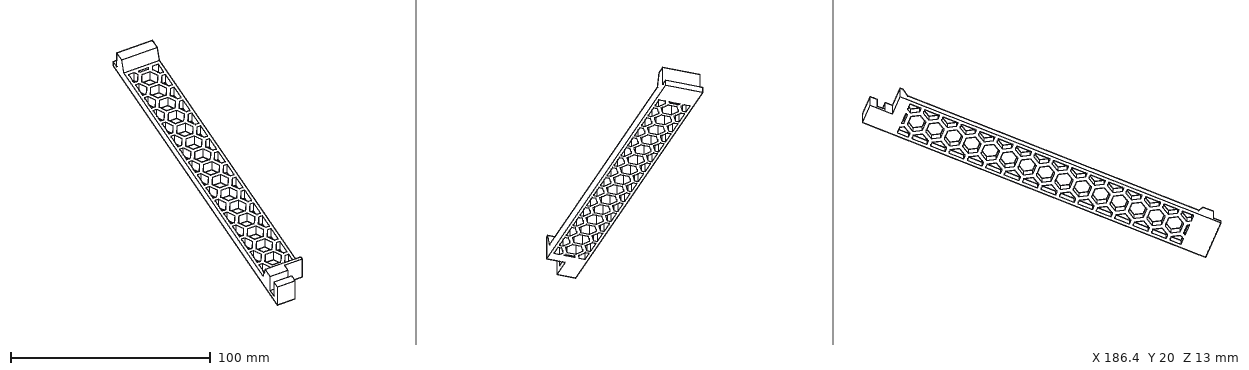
import cadquery as cq
import math

LENGTH = 186.4
WIDTH = 20.0
HEIGHT = 13.0

LIP_HEIGHT = 3.0
DECK_HEIGHT = 6.0

LIP_LENGTH = 4.1
LEFT_UPRIGHT_TOP = 5.5
SLOPE_RUN = 2.5

HOOK_THICKNESS = 4.0
SLOT_WIDTH = 4.3
RIGHT_UPRIGHT_TOP = 5.5

CUTOUT_LENGTH = 12.1
CUTOUT_DEPTH = WIDTH / 2

WINDOW_END_MARGIN = 2.0
WINDOW_SIDE_MARGIN = 1.7
CELL_COUNT = 15
CELL_ROW_SPAN = 140.0
CELL_ACROSS_FLATS = 8.0

left_upright_end = LIP_LENGTH + LEFT_UPRIGHT_TOP
deck_start = left_upright_end + SLOPE_RUN
slot_end = LENGTH - HOOK_THICKNESS
slot_start = slot_end - SLOT_WIDTH
right_upright_start = slot_start - RIGHT_UPRIGHT_TOP
deck_end = right_upright_start - SLOPE_RUN


def make_body():
    """Side profile of the whole bar, extruded across its width."""
    profile = [
        (0, 0),
        (0, LIP_HEIGHT),
        (LIP_LENGTH, LIP_HEIGHT),
        (LIP_LENGTH, HEIGHT),
        (left_upright_end, HEIGHT),
        (deck_start, DECK_HEIGHT),
        (deck_end, DECK_HEIGHT),
        (right_upright_start, HEIGHT),
        (slot_start, HEIGHT),
        (slot_start, LIP_HEIGHT),
        (slot_end, LIP_HEIGHT),
        (slot_end, HEIGHT),
        (LENGTH, HEIGHT),
        (LENGTH, 0),
    ]
    return cq.Workplane("XZ").polyline(profile).close().extrude(-WIDTH)


def make_corner_cutout():
    """Full-height block removed from the rear right corner."""
    return cq.Workplane("XY").box(CUTOUT_LENGTH, CUTOUT_DEPTH, HEIGHT, centered=False).translate(
        (LENGTH - CUTOUT_LENGTH, WIDTH - CUTOUT_DEPTH, 0)
    )


def make_honeycomb():
    """Three staggered rows of through cells, trimmed to the window rectangle."""
    pitch = CELL_ROW_SPAN / (CELL_COUNT - 1)
    row_spacing = pitch * math.sqrt(3) / 2
    corner_diameter = CELL_ACROSS_FLATS * 2 / math.sqrt(3)
    middle_count = CELL_COUNT + 2
    outer_count = CELL_COUNT + 1

    def row(count, y):
        return [((i - (count - 1) / 2) * pitch, y) for i in range(count)]

    centres = row(middle_count, 0) + row(outer_count, row_spacing) + row(outer_count, -row_spacing)
    cell = cq.Workplane("XY").polygon(6, corner_diameter).extrude(DECK_HEIGHT)
    cell = cell.rotate((0, 0, 0), (0, 0, 1), 90).val()
    cells = cq.Workplane("XY").pushPoints(centres).eachpoint(lambda place: cell.moved(place))

    window_length = deck_end - deck_start - 2 * WINDOW_END_MARGIN
    window_width = WIDTH - 2 * WINDOW_SIDE_MARGIN
    window = cq.Workplane("XY").rect(window_length, window_width).extrude(DECK_HEIGHT)
    return cells.intersect(window).translate(((deck_start + deck_end) / 2, WIDTH / 2, 0))


result = make_body().cut(make_corner_cutout()).cut(make_honeycomb())